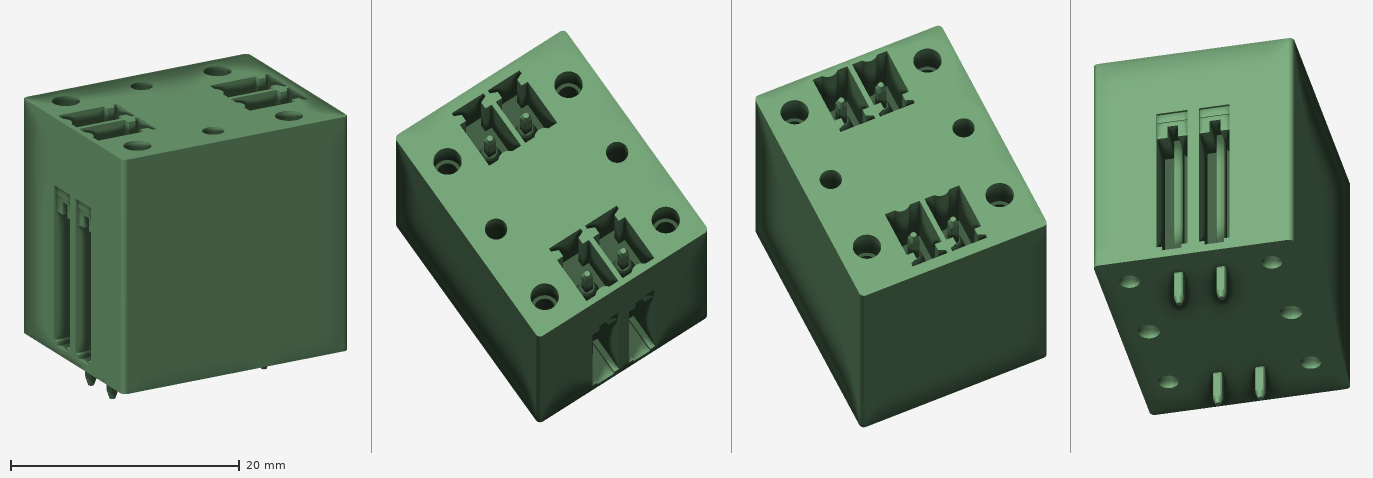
import cadquery as cq
import math

OVERALL_HEIGHT = 25.1

HOUSING_X = 18.02
HOUSING_Y = 22.7
HOUSING_Z = 21.94
CORNER_RADIUS = 0.45

COLUMN_PITCH = 3.82
ROW_PITCH = 15.24
GRID_Y = -0.8
COLUMN_XS = [-COLUMN_PITCH / 2, COLUMN_PITCH / 2]
FRONT_ROW_Y = GRID_Y - ROW_PITCH / 2
REAR_ROW_Y = GRID_Y + ROW_PITCH / 2
ROW_YS = [FRONT_ROW_Y, REAR_ROW_Y]
CONTACT_POINTS = [(x, y) for x in COLUMN_XS for y in ROW_YS]

PIN_WIDTH = 0.83
PIN_EDGE_CHAMFER = 0.1
PIN_CORNER_RADIUS = math.hypot(PIN_WIDTH / 2, PIN_WIDTH / 2 - PIN_EDGE_CHAMFER)
PIN_TIP_RADIUS = 0.25
PIN_TAPER_LENGTH = 0.75
PIN_BOTTOM_Z = HOUSING_Z - OVERALL_HEIGHT
PIN_TOP_Z = 20.95

SOCKET_HALF_WIDTH = 1.68
SOCKET_NECK_HALF_WIDTH = 1.03
SOCKET_NEAR_Y = -2.38
SOCKET_NOTCH_Y = 2.23
SOCKET_NECK_END_Y = 2.9
SOCKET_TAB_Y = 3.2
SOCKET_FAR_Y = 3.51
SOCKET_FLOOR_Z = 16.06
KEY_HALF_WIDTH = 0.73
KEY_HEIGHT = 0.35

COLLAR_BASE_RADIUS = 1.1
COLLAR_MIDDLE_RADIUS = 0.8
COLLAR_TOP_RADIUS = 0.63
COLLAR_MIDDLE_Z = SOCKET_FLOOR_Z + 1.25
COLLAR_TOP_Z = COLLAR_MIDDLE_Z + 0.2

HOLE_X = 6.4
SCREW_HOLE_DIAMETER = 1.83
SCREW_COUNTERBORE_DIAMETER = 2.48
SCREW_COUNTERBORE_DEPTH = 3.0
MIDDLE_HOLE_DIAMETER = 1.95

WINDOW_WIDTH = 2.79
WINDOW_TOP_Z = 15.6
LINTEL_BOTTOM_Z = 14.75
LINTEL_RECESS = 0.23
INNER_WALL_RECESS = 0.3
CAVITY_TOP_Z = 13.1
CAVITY_FLOOR_Z = 1.13
CHANNEL_WIDTH = 1.75
CHANNEL_FLOOR_Z = 0.73
PIN_SLOT_WIDTH = 0.95
PIN_SLOT_TOP_Z = 14.3
FRONT_Y = -HOUSING_Y / 2
CAVITY_BACK_Y = FRONT_ROW_Y + PIN_SLOT_WIDTH / 2


def span_box(width, y_range, z_range):
    """Box centred on X that fills the given Y and Z ranges."""
    return (
        cq.Workplane("XY")
        .box(width, y_range[1] - y_range[0], z_range[1] - z_range[0], centered=(True, False, False))
        .translate((0, y_range[0], z_range[0]))
    )


def make_socket():
    """Socket cutter around the pin axis, with side notches and a rounded key, less the collar."""
    socket = (
        cq.Workplane("XY", origin=(0, 0, SOCKET_FLOOR_Z))
        .moveTo(-SOCKET_HALF_WIDTH, SOCKET_NEAR_Y)
        .lineTo(-KEY_HALF_WIDTH, SOCKET_NEAR_Y)
        .threePointArc((0, SOCKET_NEAR_Y + KEY_HEIGHT), (KEY_HALF_WIDTH, SOCKET_NEAR_Y))
        .lineTo(SOCKET_HALF_WIDTH, SOCKET_NEAR_Y)
        .lineTo(SOCKET_HALF_WIDTH, SOCKET_NOTCH_Y)
        .lineTo(SOCKET_NECK_HALF_WIDTH, SOCKET_NOTCH_Y)
        .lineTo(SOCKET_NECK_HALF_WIDTH, SOCKET_NECK_END_Y)
        .lineTo(SOCKET_HALF_WIDTH, SOCKET_TAB_Y)
        .lineTo(SOCKET_HALF_WIDTH, SOCKET_FAR_Y)
        .lineTo(-SOCKET_HALF_WIDTH, SOCKET_FAR_Y)
        .lineTo(-SOCKET_HALF_WIDTH, SOCKET_TAB_Y)
        .lineTo(-SOCKET_NECK_HALF_WIDTH, SOCKET_NECK_END_Y)
        .lineTo(-SOCKET_NECK_HALF_WIDTH, SOCKET_NOTCH_Y)
        .lineTo(-SOCKET_HALF_WIDTH, SOCKET_NOTCH_Y)
        .close()
        .extrude(HOUSING_Z - SOCKET_FLOOR_Z)
    )
    collar = (
        cq.Workplane("XZ")
        .polyline([
            (0, SOCKET_FLOOR_Z),
            (COLLAR_BASE_RADIUS, SOCKET_FLOOR_Z),
            (COLLAR_MIDDLE_RADIUS, COLLAR_MIDDLE_Z),
            (COLLAR_TOP_RADIUS, COLLAR_TOP_Z),
            (0, COLLAR_TOP_Z),
        ])
        .close()
        .revolve(360, (0, 0, 0), (0, 1, 0))
    )
    return socket.cut(collar)


def make_window():
    """Window cutter at X = 0: stepped lintel, deep cavity, floor channel and pin slot."""
    lintel = span_box(
        WINDOW_WIDTH, (FRONT_Y, FRONT_Y + LINTEL_RECESS), (LINTEL_BOTTOM_Z, WINDOW_TOP_Z)
    )
    inner_wall = span_box(
        WINDOW_WIDTH, (FRONT_Y, FRONT_Y + INNER_WALL_RECESS), (CAVITY_TOP_Z, LINTEL_BOTTOM_Z)
    )
    depth = (FRONT_Y, CAVITY_BACK_Y)
    cavity = span_box(WINDOW_WIDTH, depth, (CAVITY_FLOOR_Z, CAVITY_TOP_Z))
    channel = span_box(CHANNEL_WIDTH, depth, (CHANNEL_FLOOR_Z, CAVITY_FLOOR_Z))
    pin_slot = span_box(PIN_SLOT_WIDTH, depth, (CAVITY_TOP_Z, PIN_SLOT_TOP_Z))
    return cavity.union(channel).union(pin_slot).union(inner_wall).union(lintel)


def round_cutter(points, diameter, depth):
    """Vertical cylinders that reach down from the housing top to the given depth."""
    return (
        cq.Workplane("XY", origin=(0, 0, HOUSING_Z))
        .pushPoints(points)
        .circle(diameter / 2)
        .extrude(-depth)
    )


def make_side_holes():
    """Counterbored screw holes in line with the pin rows, and a plain hole midway on each side."""
    side_xs = (-HOLE_X, HOLE_X)
    screw_points = [(x, y) for x in side_xs for y in ROW_YS]
    middle_points = [(x, GRID_Y) for x in side_xs]
    screw_holes = round_cutter(screw_points, SCREW_HOLE_DIAMETER, HOUSING_Z)
    counterbores = round_cutter(screw_points, SCREW_COUNTERBORE_DIAMETER, SCREW_COUNTERBORE_DEPTH)
    middle_holes = round_cutter(middle_points, MIDDLE_HOLE_DIAMETER, HOUSING_Z)
    return screw_holes.union(counterbores).union(middle_holes)


def make_pin(x, y):
    """Pin with chamfered long edges, tapered at both ends."""
    shaft_bottom_z = PIN_BOTTOM_Z + PIN_TAPER_LENGTH
    shaft_top_z = PIN_TOP_Z - PIN_TAPER_LENGTH
    shaft = (
        cq.Workplane("XY", origin=(0, 0, PIN_BOTTOM_Z))
        .rect(PIN_WIDTH, PIN_WIDTH)
        .extrude(PIN_TOP_Z - PIN_BOTTOM_Z)
        .edges("|Z")
        .chamfer(PIN_EDGE_CHAMFER)
    )
    envelope = (
        cq.Workplane("XZ")
        .polyline([
            (0, PIN_BOTTOM_Z),
            (PIN_TIP_RADIUS, PIN_BOTTOM_Z),
            (PIN_CORNER_RADIUS, shaft_bottom_z),
            (PIN_CORNER_RADIUS, shaft_top_z),
            (PIN_TIP_RADIUS, PIN_TOP_Z),
            (0, PIN_TOP_Z),
        ])
        .close()
        .revolve(360, (0, 0, 0), (0, 1, 0))
    )
    return shaft.intersect(envelope).translate((x, y, 0))


def make_housing(pins):
    """Block with sockets, windows and side holes, and a matching hole for each pin."""
    housing = (
        cq.Workplane("XY")
        .box(HOUSING_X, HOUSING_Y, HOUSING_Z, centered=(True, True, False))
        .edges("|Z")
        .fillet(CORNER_RADIUS)
    )
    socket = make_socket()
    for x, y in CONTACT_POINTS:
        housing = housing.cut(socket.translate((x, y, 0)))

    window = make_window()
    for x in COLUMN_XS:
        housing = housing.cut(window.translate((x, 0, 0)))

    housing = housing.cut(make_side_holes())
    for pin in pins:
        housing = housing.cut(pin)
    return housing


pins = [make_pin(x, y) for x, y in CONTACT_POINTS]
housing = make_housing(pins)

result = cq.Compound.makeCompound([housing.val(), *[pin.val() for pin in pins]])